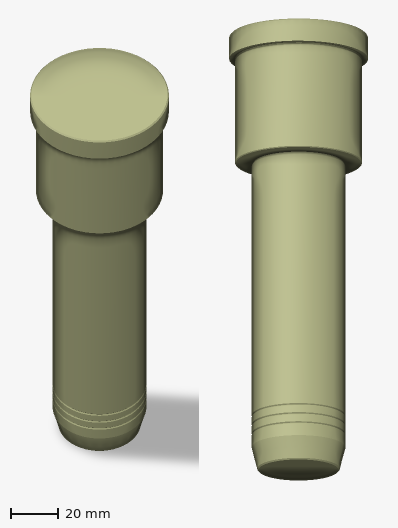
import cadquery as cq

total_length = 191.0

head_diameter = 59.0
head_height = 10.0
head_chamfer = 0.5

body_diameter = 54.0
body_bottom_z = 135.0
body_chamfer = 0.4

shank_diameter = 40.0
shank_top_chamfer_height = 1.3
shank_top_chamfer_depth = 0.8

nose_height = 10.0
nose_base_diameter = 35.1
tip_chamfer = 0.5

neck_groove_width = 1.1
ring_groove_width = 1.0
groove_depth = 0.4
ring_groove_count = 3
ring_groove_pitch = 4.0
lowest_ring_groove_z = 15.0

head_radius = head_diameter / 2
body_radius = body_diameter / 2
shank_radius = shank_diameter / 2
nose_base_radius = nose_base_diameter / 2
head_bottom_z = total_length - head_height


def turned(outline):
    """Solid of revolution about Z from (radius, height) points."""
    return cq.Workplane("XZ").polyline(outline).close().revolve(360, (0, 0, 0), (0, 1, 0))


def v_groove(surface_radius, bottom_z, width):
    """Ring that cuts a shallow V-shaped groove into a cylindrical surface."""
    clearance = 2.0
    outer_radius = surface_radius + clearance
    top_z = bottom_z + width
    outline = [
        (outer_radius, bottom_z),
        (surface_radius, bottom_z),
        (surface_radius - groove_depth, bottom_z + width / 2),
        (surface_radius, top_z),
        (outer_radius, top_z),
    ]
    return turned(outline)


def make_blank():
    """Stepped pin: tapered nose, long shank, thicker body and flanged head."""
    outline = [
        (0, 0),
        (nose_base_radius - tip_chamfer, 0),
        (nose_base_radius, tip_chamfer),
        (shank_radius, nose_height),
        (shank_radius, body_bottom_z - shank_top_chamfer_height),
        (shank_radius - shank_top_chamfer_depth, body_bottom_z),
        (body_radius - body_chamfer, body_bottom_z),
        (body_radius, body_bottom_z + body_chamfer),
        (body_radius, head_bottom_z),
        (head_radius, head_bottom_z),
        (head_radius, total_length - head_chamfer),
        (head_radius - head_chamfer, total_length),
        (0, total_length),
    ]
    return turned(outline)


result = make_blank()

result = result.cut(v_groove(body_radius, head_bottom_z - neck_groove_width, neck_groove_width))

for index in range(ring_groove_count):
    groove_z = lowest_ring_groove_z + index * ring_groove_pitch
    result = result.cut(v_groove(shank_radius, groove_z, ring_groove_width))